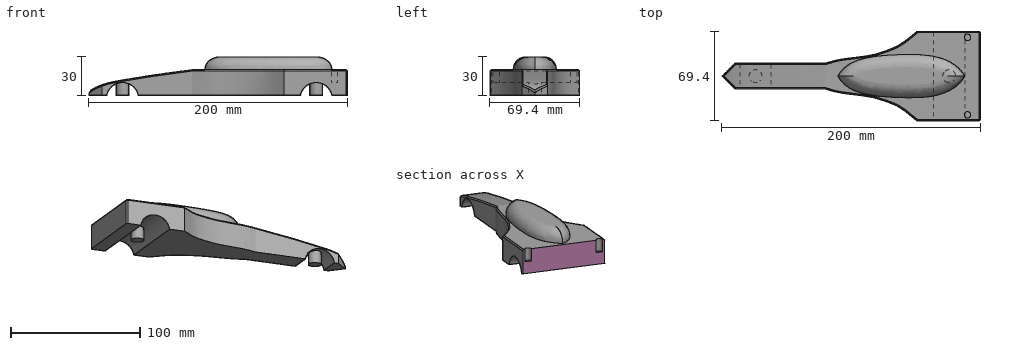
import cadquery as cq

length = 200.0
body_width = 69.4
body_height = 20.0
edge_chamfer = 1.0

neck_width = 20.0
nose_length = neck_width / 2
neck_end = 80.0
shoulder_x = 151.0
flare_points = [(90.4, 12.8), (104.8, 14.8), (117.8, 16.8), (126.8, 19.5), (135.2, 23.0), (142.8, 28.0)]

nose_height = 3.2
neck_top_points = [(10.0, 8.4), (24.4, 11.8), (41.2, 14.5), (61.8, 17.5)]

dome_height = 10.0
dome_round = 10.0
dome_start = 89.5
dome_end = 188.0
dome_points = [(100.2, 10.2), (115.4, 14.8), (130.5, 16.4), (146.0, 16.8), (160.0, 16.0), (174.0, 12.2)]

front_arch_x = 25.8
arch_spacing = 150.0
arch_radius = 12.4
arch_height = 10.0
pin_diameter = 10.0
pin_overlap = 1.0

hole_diameter = 5.0
hole_depth = 10.0
hole_x = 190.0
hole_spacing = 60.0


def mirrored(points):
    """Reflect plan points about the X axis and reverse their order."""
    return [(x, -y) for x, y in reversed(points)]


def make_body():
    half_neck = neck_width / 2
    half_body = body_width / 2
    plan = (
        cq.Workplane("XY")
        .moveTo(0, 0)
        .lineTo(nose_length, half_neck)
        .lineTo(neck_end, half_neck)
        .spline(flare_points + [(shoulder_x, half_body)], includeCurrent=True)
        .lineTo(length, half_body)
        .lineTo(length, -half_body)
        .lineTo(shoulder_x, -half_body)
        .spline(mirrored(flare_points) + [(neck_end, -half_neck)], includeCurrent=True)
        .lineTo(nose_length, -half_neck)
        .close()
        .extrude(body_height)
        .edges("|Z and >X")
        .chamfer(edge_chamfer)
    )
    side = (
        cq.Workplane("XZ")
        .workplane(offset=-half_body)
        .moveTo(0, 0)
        .lineTo(0, nose_height)
        .spline(neck_top_points + [(neck_end, body_height)], includeCurrent=True)
        .lineTo(length, body_height)
        .lineTo(length, 0)
        .close()
        .extrude(body_width)
    )
    body = plan.intersect(side)
    rim = body.edges("(not |Z) and (not <Z) and (not (|Y and (not >X)))").vals()
    neck_rim = [edge for edge in rim if edge.Center().x < neck_end]
    rear_rim = [edge for edge in rim if edge.Center().x > neck_end]
    neck_chamfered = body.newObject(neck_rim).chamfer(edge_chamfer)
    rear_chamfered = body.newObject(rear_rim).chamfer(edge_chamfer)
    return neck_chamfered.intersect(rear_chamfered)


def make_dome():
    return (
        cq.Workplane("XY")
        .workplane(offset=body_height / 2)
        .moveTo(dome_start, 0)
        .spline(dome_points + [(dome_end, 0)], includeCurrent=True)
        .spline(mirrored(dome_points) + [(dome_start, 0)], includeCurrent=True)
        .close()
        .extrude(body_height / 2 + dome_height)
        .faces(">Z")
        .edges()
        .fillet(dome_round)
    )


def make_arch(x):
    return (
        cq.Workplane("XZ")
        .center(x, arch_height - arch_radius)
        .circle(arch_radius)
        .extrude(body_width / 2, both=True)
    )


def make_pin(x):
    return cq.Workplane("XY").center(x, 0).circle(pin_diameter / 2).extrude(arch_height + pin_overlap)


result = make_body().union(make_dome())

wheel_positions = (front_arch_x, front_arch_x + arch_spacing)
for arch_x in wheel_positions:
    result = result.cut(make_arch(arch_x)).union(make_pin(arch_x))

corner_holes = (
    cq.Workplane("XY")
    .workplane(offset=body_height - hole_depth)
    .pushPoints([(hole_x, hole_spacing / 2), (hole_x, -hole_spacing / 2)])
    .circle(hole_diameter / 2)
    .extrude(hole_depth)
)
result = result.cut(corner_holes)